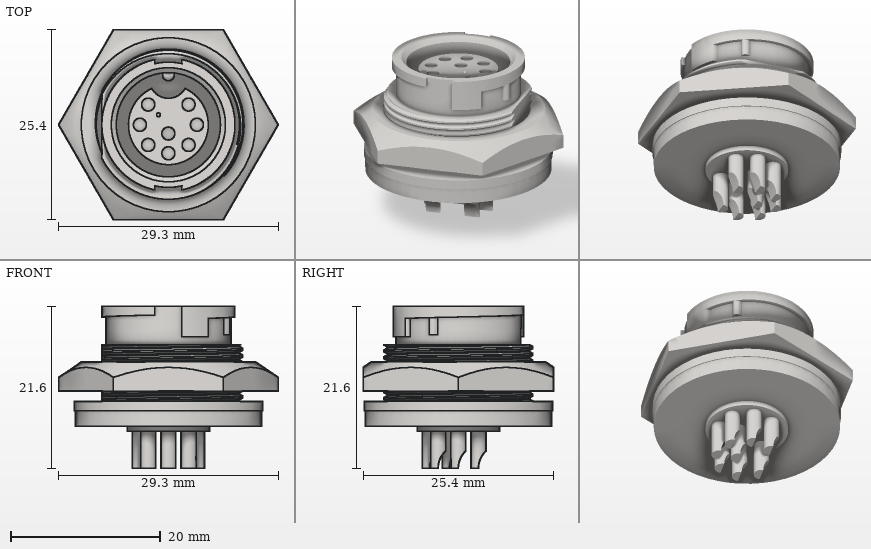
import cadquery as cq
import math


BOSS_BOTTOM = 4.92
FLANGE_BOTTOM = 5.61
FLANGE_STEP = 7.66
FLANGE_TOP = 8.93
NUT_BOTTOM = 10.31
NUT_TOP = 14.22
CAVITY_FLOOR = 15.45
THREAD_TOP = 16.51
TAB_BOTTOM = 17.56
RIB_BOTTOM = 17.81
INSERT_TOP = 20.0
SHELL_TOP = 21.64

FLANGE_RADIUS = 12.6
FLANGE_LOWER_RADIUS = 12.45
NECK_RADIUS = 8.36
LIP_RADIUS = 8.89
BORE_RADIUS = 6.96
BORE_CHAMFER = 0.66

THREAD_RADIUS = 9.95
THREAD_ROOT_RADIUS = 9.48
THREAD_PITCH = 25.4 / 28
THREAD_CREST = THREAD_PITCH / 4
THREAD_FLANK_ANGLE = 30.0
RIDGE_EMBED = 0.05
THREAD_LEAD_IN = 1.2
FLAT_X = -8.88

NOTCH_HALF_WIDTH = 1.81
TAB_END_X = 5.34
RAMP_HIGH_Z = 20.46
RAMP_LOW_Z = 20.02
LIP_BLANK_BOTTOM = 19.5
LIP_OVERLAP = 0.4
RIB_RADIUS = 0.52
RIB_ANGLE = -23.8
RIB_FLANK_TURN = 119.0

INSERT_RADIUS = 5.33
BOSS_RADIUS = 5.52
KEYWAY_RADIUS = 2.53
KEYWAY_Y = 6.06
CONTACT_CIRCLE_RADIUS = 3.81
CONTACT_PLACES = 8
INNER_CONTACT_Y = -1.17
SOCKET_RADIUS = 0.87
SOCKET_DEPTH = 0.5
TAIL_RADIUS = 1.016
TAIL_SCOOP_RADIUS = 3.175
MARK_RADIUS = 0.25
MARK_XY = (-1.33, 1.33)

KEY_RADIUS = 0.78
KEY_BALL_Y = 6.64
KEY_Z = 18.47

NUT_ACROSS_FLATS = 25.4
NUT_ACROSS_CORNERS = NUT_ACROSS_FLATS / math.cos(math.radians(30))
NUT_TOP_RADIUS = 11.62
NUT_CLEARANCE = 0.15
NUT_CORNER_DROP = 2.08


def disc(radius, bottom, top):
    return cq.Workplane("XY").workplane(offset=bottom).circle(radius).extrude(top - bottom)


def half_turn(shape):
    return shape.rotate((0, 0, 0), (0, 0, 1), 180)


def threaded_rod(bottom, top, clearance=0.0):
    """Root cylinder with a right-handed helical ridge, grown radially by the clearance."""
    root_radius = THREAD_ROOT_RADIUS + clearance
    crest_radius = THREAD_RADIUS + clearance
    ridge_foot = root_radius - RIDGE_EMBED
    start_z = FLANGE_TOP - THREAD_LEAD_IN
    height = math.ceil((top - start_z) / THREAD_PITCH + 1) * THREAD_PITCH
    flank_slope = math.tan(math.radians(THREAD_FLANK_ANGLE))
    half_crest = THREAD_CREST / 2
    half_foot = half_crest + (crest_radius - ridge_foot) * flank_slope
    path = cq.Wire.makeHelix(THREAD_PITCH, height, ridge_foot, center=cq.Vector(0, 0, start_z))
    ridge = (
        cq.Workplane("XZ")
        .polyline([
            (ridge_foot, start_z - half_foot),
            (crest_radius, start_z - half_crest),
            (crest_radius, start_z + half_crest),
            (ridge_foot, start_z + half_foot),
        ])
        .close()
        .sweep(cq.Workplane(path), isFrenet=True)
    )
    core = disc(root_radius, start_z - THREAD_PITCH, start_z + height + THREAD_PITCH)
    return core.union(ridge).intersect(disc(crest_radius + THREAD_PITCH, bottom, top))


def ramp_cutter():
    """Helical band whose top is the rising underside of the lip on the -X side."""
    high_angle = 180 + math.degrees(math.acos(NOTCH_HALF_WIDTH / LIP_RADIUS))
    low_angle = 180 - math.degrees(math.acos(TAB_END_X / LIP_RADIUS))
    rise_per_degree = (RAMP_HIGH_Z - RAMP_LOW_Z) / (high_angle - low_angle)
    run_out = 10.0
    start_z = RAMP_LOW_Z - run_out * rise_per_degree
    band_bottom = start_z - (RAMP_LOW_Z - TAB_BOTTOM)
    sweep_angle = high_angle - low_angle + 2 * run_out
    inner = NECK_RADIUS - 2 * LIP_OVERLAP
    outer = LIP_RADIUS + LIP_OVERLAP
    path = cq.Wire.makeHelix(
        360 * rise_per_degree, sweep_angle * rise_per_degree, inner, center=cq.Vector(0, 0, start_z)
    )
    band = (
        cq.Workplane("XZ")
        .polyline([(inner, start_z), (outer, start_z), (outer, band_bottom), (inner, band_bottom)])
        .close()
        .sweep(cq.Workplane(path), isFrenet=True)
    )
    return band.rotate((0, 0, 0), (0, 0, 1), low_angle - run_out)


def lip_ring(bottom):
    return disc(LIP_RADIUS, bottom, SHELL_TOP).cut(disc(NECK_RADIUS - LIP_OVERLAP, bottom, SHELL_TOP))


def bayonet_tab():
    """Stop tab beside the -Y notch, reaching below the lip."""
    block = cq.Workplane("XY").box(
        TAB_END_X - NOTCH_HALF_WIDTH, LIP_RADIUS, SHELL_TOP - TAB_BOTTOM, centered=False
    ).translate((NOTCH_HALF_WIDTH, -LIP_RADIUS, TAB_BOTTOM))
    return lip_ring(TAB_BOTTOM).intersect(block)


def detent_rib():
    """Round-nosed rib below the lip, with a flank facing -Y and one facing outward."""
    angle = math.radians(RIB_ANGLE)
    center = cq.Vector(NECK_RADIUS * math.cos(angle), NECK_RADIUS * math.sin(angle), 0)
    inward = cq.Vector(-LIP_OVERLAP, 0, 0)

    def nose(turn):
        direction = math.radians(turn - 90)
        return center + cq.Vector(math.cos(direction), math.sin(direction), 0) * RIB_RADIUS

    flank = math.radians(RIB_FLANK_TURN)
    flank_end = nose(RIB_FLANK_TURN) + cq.Vector(math.cos(flank), math.sin(flank), 0) * 2 * LIP_OVERLAP
    return (
        cq.Workplane("XY")
        .workplane(offset=RIB_BOTTOM)
        .moveTo(*(nose(0) + inward).toTuple()[:2])
        .lineTo(*nose(0).toTuple()[:2])
        .threePointArc(nose(RIB_FLANK_TURN / 2).toTuple()[:2], nose(RIB_FLANK_TURN).toTuple()[:2])
        .lineTo(*flank_end.toTuple()[:2])
        .close()
        .extrude(RAMP_HIGH_Z - RIB_BOTTOM)
    )


def bayonet():
    """Lip with two ramps, notches, stop tabs and detent ribs."""
    ramp = ramp_cutter()
    notches = cq.Workplane("XY").box(2 * NOTCH_HALF_WIDTH, 4 * LIP_RADIUS, 2 * SHELL_TOP)
    notches = notches.cut(disc(NECK_RADIUS, -SHELL_TOP, SHELL_TOP))
    shape = lip_ring(LIP_BLANK_BOTTOM).cut(ramp).cut(half_turn(ramp)).cut(notches)
    for feature in (bayonet_tab(), detent_rib()):
        shape = shape.union(feature).union(half_turn(feature))
    return shape


def contact_positions():
    """Contacts evenly spaced on a circle, leaving out the +Y place at the keyway, and one inside it."""
    points = [(0, INNER_CONTACT_Y)]
    for place in range(1, CONTACT_PLACES):
        angle = math.pi / 2 + place * 2 * math.pi / CONTACT_PLACES
        points.append((CONTACT_CIRCLE_RADIUS * math.cos(angle), CONTACT_CIRCLE_RADIUS * math.sin(angle)))
    return points


def solder_tail(x, y):
    """Round tail with its +Y half scooped away towards the tip."""
    scoop = (
        cq.Workplane("YZ")
        .center(TAIL_SCOOP_RADIUS, 0)
        .circle(TAIL_SCOOP_RADIUS)
        .extrude(TAIL_RADIUS, both=True)
    )
    return disc(TAIL_RADIUS, 0, BOSS_BOTTOM).cut(scoop).translate((x, y, 0))


def contact_insert():
    """Socket face standing in the bore, with keyway and contact sockets."""
    keyway = disc(KEYWAY_RADIUS, CAVITY_FLOOR, INSERT_TOP).translate((0, KEYWAY_Y, 0))
    sockets = (
        cq.Workplane("XY")
        .workplane(offset=INSERT_TOP - SOCKET_DEPTH)
        .pushPoints(contact_positions())
        .circle(SOCKET_RADIUS)
        .extrude(SOCKET_DEPTH)
    )
    mark = cq.Workplane("XY").sphere(MARK_RADIUS).translate((*MARK_XY, INSERT_TOP))
    return disc(INSERT_RADIUS, CAVITY_FLOOR, INSERT_TOP).cut(keyway).cut(sockets).union(mark)


def key_pin():
    """Ball-ended radial pin on the +Y side of the bore."""
    wall_y = (BORE_RADIUS + NECK_RADIUS) / 2
    stem = cq.Workplane("XZ").circle(KEY_RADIUS).extrude(-(wall_y - KEY_BALL_Y))
    ball = cq.Workplane("XY").sphere(KEY_RADIUS)
    return stem.union(ball).translate((0, KEY_BALL_Y, KEY_Z))


def bore_cavity():
    """Blind bore with a chamfered mouth."""
    mouth_radius = BORE_RADIUS + BORE_CHAMFER
    return (
        cq.Workplane("XZ")
        .moveTo(0, CAVITY_FLOOR)
        .lineTo(BORE_RADIUS, CAVITY_FLOOR)
        .lineTo(BORE_RADIUS, SHELL_TOP - BORE_CHAMFER)
        .lineTo(mouth_radius, SHELL_TOP)
        .lineTo(0, SHELL_TOP)
        .close()
        .revolve(360, (0, 0, 0), (0, 1, 0))
    )


def connector():
    """Flanged shell with thread, bayonet lip, contact insert and solder tails."""
    thread = threaded_rod(FLANGE_TOP, THREAD_TOP)
    flat = cq.Workplane("XY").box(THREAD_RADIUS, 4 * THREAD_RADIUS, 4 * SHELL_TOP)
    thread = thread.cut(flat.translate((FLAT_X - THREAD_RADIUS / 2, 0, 0)))

    shape = disc(BOSS_RADIUS, BOSS_BOTTOM, FLANGE_BOTTOM)
    shape = shape.union(disc(FLANGE_LOWER_RADIUS, FLANGE_BOTTOM, FLANGE_STEP))
    shape = shape.union(disc(FLANGE_RADIUS, FLANGE_STEP, FLANGE_TOP))
    shape = shape.union(thread)
    shape = shape.union(disc(NECK_RADIUS, THREAD_TOP, SHELL_TOP)).union(bayonet())

    shape = shape.cut(bore_cavity())
    shape = shape.union(contact_insert()).union(key_pin())
    for x, y in contact_positions():
        shape = shape.union(solder_tail(x, y))
    return shape


def lock_nut():
    """Hexagon nut, conically bevelled on top, with a threaded bore clear of the neck thread."""
    height = NUT_TOP - NUT_BOTTOM
    corner_radius = NUT_ACROSS_CORNERS / 2
    hexagon = (
        cq.Workplane("XY").workplane(offset=NUT_BOTTOM).polygon(6, NUT_ACROSS_CORNERS).extrude(height)
    )
    bevel_slope = NUT_CORNER_DROP / (corner_radius - NUT_TOP_RADIUS)
    rim_radius = NUT_TOP_RADIUS + height / bevel_slope
    bevel_cone = (
        cq.Workplane("XZ")
        .polyline([(0, NUT_BOTTOM), (rim_radius, NUT_BOTTOM), (NUT_TOP_RADIUS, NUT_TOP), (0, NUT_TOP)])
        .close()
        .revolve(360, (0, 0, 0), (0, 1, 0))
    )
    return hexagon.intersect(bevel_cone).cut(threaded_rod(NUT_BOTTOM, NUT_TOP, NUT_CLEARANCE))


socket = connector()
nut = lock_nut()
result = cq.Compound.makeCompound([socket.solids().val(), nut.solids().val()])